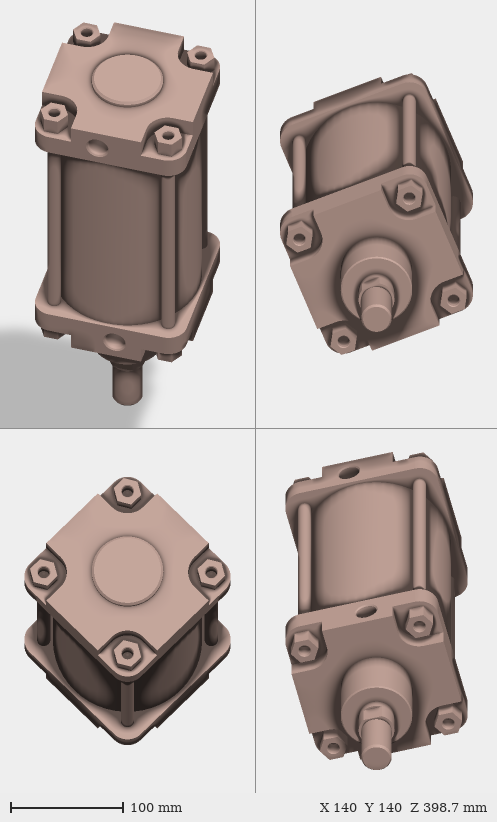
import cadquery as cq
import math


rod_length = 70.2
neck_length = 48.5
cap_height = 36.0
barrel_length = 203.0
boss_height = 5.0

neck_bottom_z = rod_length
front_cap_bottom_z = neck_bottom_z + neck_length
barrel_bottom_z = front_cap_bottom_z + cap_height
barrel_top_z = barrel_bottom_z + barrel_length
rear_cap_top_z = barrel_top_z + cap_height

cap_width = 140.0
cap_corner_radius = 16.8
front_flange_thickness = 20.5
rear_flange_thickness = 19.0
pocket_width = 37.5
pocket_corner_radius = 19.5
boss_diameter = 64.0
boss_chamfer = 2.0
neck_chamfer = 1.0

port_diameter = 21.0
port_depth = 24.0
port_chamfer = 1.0
port_offset_x = 8.0
port_drop = 18.5

barrel_diameter = 133.3

tie_rod_diameter = 12.0
tie_rod_spacing = 105.7
nut_across_flats = 22.0
nut_height = 15.0
socket_diameter = 10.5
socket_depth = nut_height
socket_mouth_chamfer = 0.8

rod_diameter = 32.0
thread_diameter = 27.0
thread_length = 47.0
thread_chamfer_height = 2.5
thread_chamfer_width = 1.5
wrench_flat_width = thread_diameter
wrench_flat_height = 16.0

tie_rod_positions = [
    (side_x * tie_rod_spacing / 2, side_y * tie_rod_spacing / 2)
    for side_x in (-1, 1)
    for side_y in (-1, 1)
]


def vertical_cylinder(diameter, bottom_z, height, x=0, y=0):
    return cq.Workplane("XY", origin=(x, y, bottom_z)).circle(diameter / 2).extrude(height)


def cap_block(bottom_z):
    return (
        cq.Workplane("XY", origin=(0, 0, bottom_z))
        .rect(cap_width, cap_width)
        .extrude(cap_height)
        .edges("|Z")
        .fillet(cap_corner_radius)
    )


def corner_pockets(bottom_z, depth):
    """Four corner cuts, each centred on a cap corner so that only its inner quarter bites."""
    half_width = cap_width / 2
    corners = [(x, y) for x in (-half_width, half_width) for y in (-half_width, half_width)]
    return (
        cq.Workplane("XY", origin=(0, 0, bottom_z))
        .pushPoints(corners)
        .rect(2 * pocket_width, 2 * pocket_width)
        .extrude(depth)
        .edges("|Z")
        .fillet(pocket_corner_radius)
    )


def tie_rod_holes(bottom_z):
    return (
        cq.Workplane("XY", origin=(0, 0, bottom_z))
        .pushPoints(tie_rod_positions)
        .circle(tie_rod_diameter / 2)
        .extrude(cap_height)
    )


def port(x, z):
    """Blind hole going in from the -Y side, with a chamfered mouth."""
    radius = port_diameter / 2
    inner_radius = radius - port_chamfer
    profile = [
        (0, 0),
        (radius, 0),
        (inner_radius, port_chamfer),
        (inner_radius, port_depth),
        (0, port_depth),
    ]
    cutter = cq.Workplane("XY").polyline(profile).close().revolve(360, (0, 0), (0, 1))
    return cutter.translate((x, -cap_width / 2, z))


def make_rear_cap():
    pocket_depth = cap_height - rear_flange_thickness
    boss = vertical_cylinder(boss_diameter, rear_cap_top_z, boss_height).faces(">Z").chamfer(boss_chamfer)
    return (
        cap_block(barrel_top_z)
        .cut(corner_pockets(rear_cap_top_z - pocket_depth, pocket_depth))
        .cut(tie_rod_holes(barrel_top_z))
        .cut(port(-port_offset_x, rear_cap_top_z - port_drop))
        .union(boss)
    )


def make_front_cap():
    pocket_depth = cap_height - front_flange_thickness
    neck = vertical_cylinder(boss_diameter, neck_bottom_z, neck_length).faces("<Z").chamfer(neck_chamfer)
    return (
        cap_block(front_cap_bottom_z)
        .cut(corner_pockets(front_cap_bottom_z, pocket_depth))
        .cut(tie_rod_holes(front_cap_bottom_z))
        .cut(port(port_offset_x, barrel_bottom_z - port_drop))
        .union(neck)
    )


def make_barrel():
    return vertical_cylinder(barrel_diameter, barrel_bottom_z, barrel_length)


def make_tie_rod(x, y):
    """Rod through both caps with a hexagonal nut and a blind socket at each end."""
    lower_seat_z = barrel_bottom_z - front_flange_thickness
    upper_seat_z = barrel_top_z + rear_flange_thickness
    bottom_z = lower_seat_z - nut_height
    top_z = upper_seat_z + nut_height
    nut_across_corners = nut_across_flats / math.cos(math.pi / 6)

    tie_rod = vertical_cylinder(tie_rod_diameter, lower_seat_z, upper_seat_z - lower_seat_z, x, y)
    for nut_z in (bottom_z, upper_seat_z):
        nut = cq.Workplane("XY", origin=(x, y, nut_z)).polygon(6, nut_across_corners).extrude(nut_height)
        tie_rod = tie_rod.union(nut)
    for socket_z in (bottom_z, top_z - socket_depth):
        tie_rod = tie_rod.cut(vertical_cylinder(socket_diameter, socket_z, socket_depth, x, y))
    socket_mouths = tie_rod.faces("<Z or >Z").edges("%CIRCLE")
    return socket_mouths.chamfer(socket_mouth_chamfer)


def make_piston_rod():
    """Rod with two wrench flats facing -Y and +Y, and a thread end tapered at both ends."""
    thread = (
        vertical_cylinder(thread_diameter, 0, thread_length)
        .faces("<Z or >Z")
        .edges()
        .chamfer(thread_chamfer_height, thread_chamfer_width)
    )
    shank = vertical_cylinder(rod_diameter, thread_length, rod_length - thread_length)
    across_flats = (
        cq.Workplane("XY", origin=(0, 0, thread_length))
        .rect(rod_diameter, wrench_flat_width)
        .extrude(wrench_flat_height)
    )
    collar_bottom_z = thread_length + wrench_flat_height
    collar = vertical_cylinder(rod_diameter, collar_bottom_z, rod_length - collar_bottom_z)
    return shank.intersect(across_flats).union(collar).union(thread)


rear_cap = make_rear_cap()
front_cap = make_front_cap()
barrel = make_barrel()
piston_rod = make_piston_rod()
tie_rods = [make_tie_rod(x, y) for x, y in tie_rod_positions]

result = cq.Compound.makeCompound(
    [
        rear_cap.val(),
        front_cap.val(),
        barrel.val(),
        piston_rod.val(),
        *[tie_rod.val() for tie_rod in tie_rods],
    ]
)